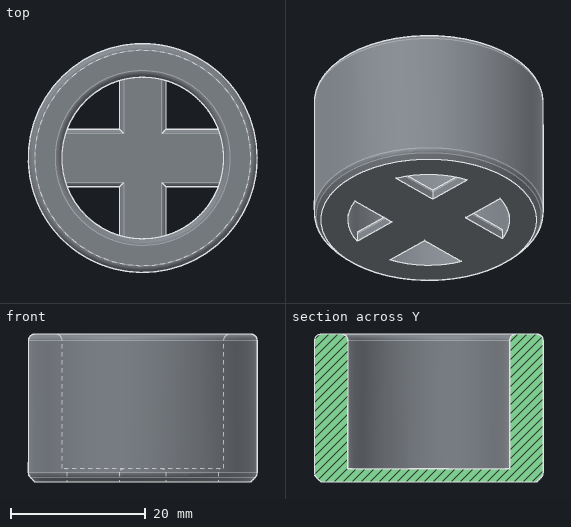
import cadquery as cq

outer_diameter = 34.0
bore_diameter = 24.0
height = 22.0
top_round = 1.0

bottom_chamfer = 1.0
chamfer_blend = 1.0

bar_along_y_width = 6.95
bar_along_x_width = 8.57
cross_thickness = 2.0
cross_edge_round = 0.68


def ring():
    body = cq.Workplane("XY").circle(outer_diameter / 2).extrude(height)
    body = body.faces("<Z").chamfer(bottom_chamfer)
    wall_corner = cq.selectors.BoxSelector(
        (-outer_diameter, -outer_diameter, bottom_chamfer / 2),
        (outer_diameter, outer_diameter, bottom_chamfer * 2),
        boundingbox=True,
    )
    body = body.edges("%CIRCLE").edges(wall_corner).fillet(chamfer_blend)
    bore = cq.Workplane("XY").circle(bore_diameter / 2).extrude(height)
    return body.cut(bore).faces(">Z").edges().fillet(top_round)


def cross():
    bars = (
        cq.Workplane("XY")
        .rect(bar_along_y_width, outer_diameter)
        .extrude(cross_thickness)
        .union(cq.Workplane("XY").rect(outer_diameter, bar_along_x_width).extrude(cross_thickness))
        .faces(">Z")
        .edges()
        .fillet(cross_edge_round)
    )
    trim_diameter = (outer_diameter + bore_diameter) / 2
    return bars.intersect(cq.Workplane("XY").circle(trim_diameter / 2).extrude(cross_thickness))


result = ring().union(cross())